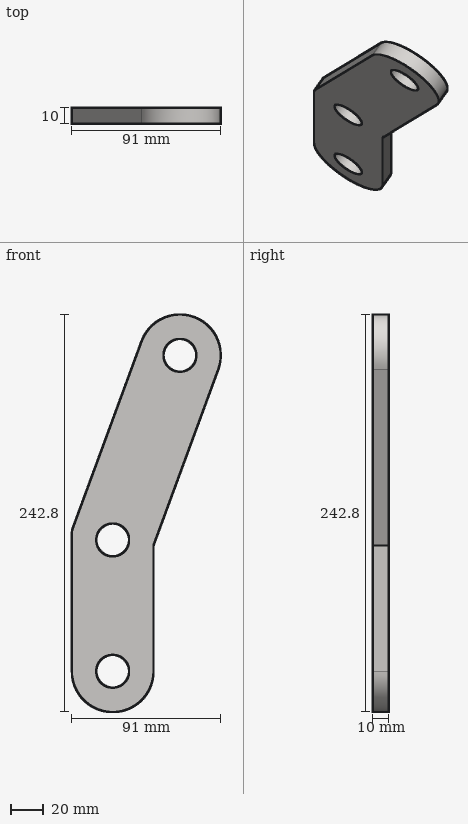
import cadquery as cq
import math

total_height = 242.8
end_radius = 25.0
thickness = 10.0
hole_diameter = 20.0
lower_span = 80.0
upper_run = 41.0
bend_rise = 1.2
bend_outer_radius = 8.5

upper_rise = total_height - 2 * end_radius - lower_span
lower_hole = (0, -lower_span)
middle_hole = (0, 0)
upper_hole = (upper_run, upper_rise)

bend_angle = math.atan2(upper_run, upper_rise - bend_rise)
mitre_rise = end_radius * math.tan(bend_angle / 2)
side_x = end_radius * math.cos(bend_angle)
side_z = end_radius * math.sin(bend_angle)


def arm_plate():
    """Bent flat bar with round ends and a rounded outer bend, centred on Y = 0."""
    upper_x, upper_z = upper_hole
    tip_of_arc = (upper_x + side_z, upper_z + side_x)
    plate = (
        cq.Workplane("XZ", origin=(0, thickness / 2, 0))
        .moveTo(-end_radius, -lower_span)
        .lineTo(-end_radius, bend_rise + mitre_rise)
        .lineTo(upper_x - side_x, upper_z + side_z)
        .threePointArc(tip_of_arc, (upper_x + side_x, upper_z - side_z))
        .lineTo(end_radius, bend_rise - mitre_rise)
        .lineTo(end_radius, -lower_span)
        .threePointArc((0, -lower_span - end_radius), (-end_radius, -lower_span))
        .close()
        .extrude(thickness)
    )
    outer_corner = cq.selectors.NearestToPointSelector((-end_radius, 0, bend_rise + mitre_rise))
    return plate.edges("|Y").edges(outer_corner).fillet(bend_outer_radius)


def pin_holes():
    """Cutters for the three equal through holes."""
    return (
        cq.Workplane("XZ", origin=(0, thickness / 2, 0))
        .pushPoints([lower_hole, middle_hole, upper_hole])
        .circle(hole_diameter / 2)
        .extrude(thickness)
    )


result = arm_plate().cut(pin_holes())